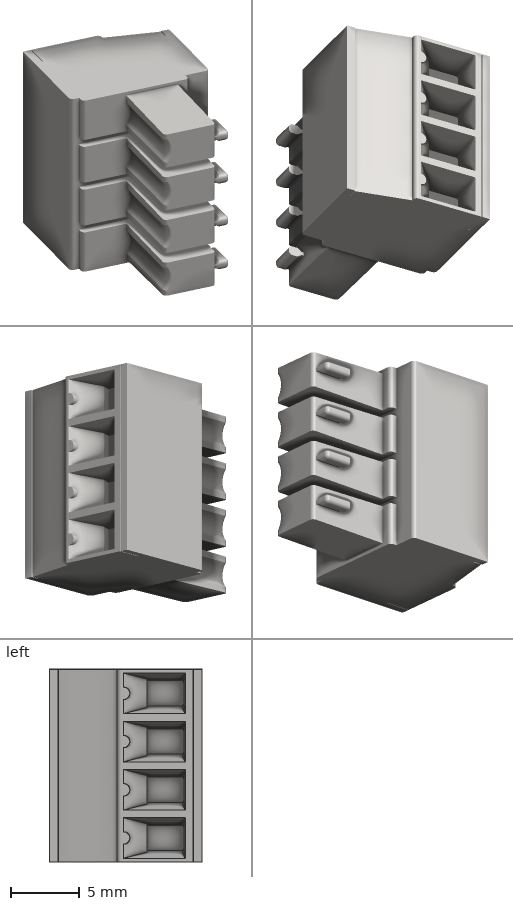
import cadquery as cq
import math


length = 15.5
depth = 11.1
height = 14.0
ways = 4
pitch = height / ways
corner_radius = 0.3

housing_end = 8.31
shoulder_end = 8.9
shoulder_front = 0.68
shoulder_back = 9.18
shoulder_gap = 0.57
panel_root = 2.0
lip = 0.62
parting_gap = 0.06
back_lip_start = 1.25
slope_top_x = 1.33
slope_foot_x = 0.45
slope_foot_y = 6.17

mouth_front = 1.21
mouth_roof = 5.7
mouth_half_height = 1.47
mouth_chamfer = 0.05
funnel_depth = 2.4
funnel_front = 1.33
funnel_half_height = 0.91
funnel_chamfer = 0.12
roof_foot_x = 1.9
roof_foot_y = 4.0
pin_diameter = 0.9

plug_front = 4.18
plug_back = 8.3
plug_root_half_height = (pitch - shoulder_gap) / 2
plug_tip_half_height = 1.35
groove_diameter = 2.8
groove_width = 1.8

hook_start = 13.02
hook_end = 15.2
hook_back = 9.53
hook_half_height = 0.37
neck_half_height = 0.14
hook_slope_start = 8.51
hook_slope_end = 8.82

overlap = 0.15


def box(x_min, x_max, y_min, y_max, z_min, z_max):
    size = (x_max - x_min, y_max - y_min, z_max - z_min)
    return cq.Workplane("XY").box(*size, centered=False).translate((x_min, y_min, z_min))


def make_housing():
    """Main block with a sloped wire-side panel between two lips."""
    slope_top_y = depth - lip - parting_gap
    body = (
        cq.Workplane("XY")
        .lineTo(housing_end, 0)
        .lineTo(housing_end, depth)
        .lineTo(back_lip_start, depth)
        .lineTo(back_lip_start, slope_top_y)
        .lineTo(slope_top_x, slope_top_y)
        .lineTo(slope_foot_x, slope_foot_y)
        .lineTo(corner_radius, slope_foot_y)
        .radiusArc((0, slope_foot_y - corner_radius), -corner_radius)
        .close()
        .extrude(height)
        .edges("|Z and >X")
        .fillet(corner_radius)
    )
    for gap_start in (lip, slope_top_y):
        gap_end = gap_start + parting_gap
        body = body.cut(box(-overlap, panel_root, gap_start, gap_end, 0, height))
    return body


def make_shoulder():
    """Raised step on the plug side, split between neighbouring ways."""
    shoulder = (
        box(housing_end - overlap, shoulder_end, shoulder_front, shoulder_back, 0, height)
        .edges("|Z and >X")
        .fillet(corner_radius)
    )
    for boundary in range(1, ways):
        z_min = boundary * pitch - shoulder_gap / 2
        slot = box(housing_end, length, 0, depth, z_min, z_min + shoulder_gap)
        shoulder = shoulder.cut(slot)
    return shoulder


def entry_outline(front, half_height, chamfer):
    """Section of a wire entry in Y and Z, chamfered at its two front corners."""
    return [
        (mouth_roof, -half_height),
        (mouth_roof, half_height),
        (front + chamfer, half_height),
        (front, half_height - chamfer),
        (front, chamfer - half_height),
        (front + chamfer, -half_height),
    ]


def make_wire_entry():
    """Tapered funnel centred on Z = 0, with a sloping roof and a screw tip left standing."""
    funnel = (
        cq.Workplane("YZ")
        .polyline(entry_outline(mouth_front, mouth_half_height, mouth_chamfer))
        .close()
        .workplane(offset=funnel_depth)
        .polyline(entry_outline(funnel_front, funnel_half_height, funnel_chamfer))
        .close()
        .loft(ruled=True)
    )
    roof = (
        cq.Workplane("XY")
        .moveTo(0, mouth_roof)
        .lineTo(roof_foot_x, roof_foot_y)
        .lineTo(length, roof_foot_y)
        .lineTo(length, mouth_roof)
        .close()
        .extrude(pitch / 2, both=True)
    )
    pin = (
        cq.Workplane("YZ")
        .center(mouth_roof, 0)
        .circle(pin_diameter / 2)
        .extrude(roof_foot_x)
    )
    return funnel.cut(roof).cut(pin)


def make_plug():
    """Plug centred on Z = 0, tapering in height, with a grooved front and rounded end."""
    plug = (
        cq.Workplane("XZ", origin=(0, plug_back, 0))
        .moveTo(housing_end, -plug_root_half_height)
        .lineTo(shoulder_end, -plug_root_half_height)
        .lineTo(length, -plug_tip_half_height)
        .lineTo(length, plug_tip_half_height)
        .lineTo(shoulder_end, plug_root_half_height)
        .lineTo(housing_end, plug_root_half_height)
        .close()
        .extrude(plug_back - plug_front)
    )
    groove_radius = groove_diameter / 2
    axis_distance = math.sqrt(groove_radius**2 - (groove_width / 2) ** 2)
    groove = (
        cq.Workplane("YZ", origin=(shoulder_end, 0, 0))
        .center(plug_front - axis_distance, 0)
        .circle(groove_radius)
        .extrude(length - shoulder_end)
    )
    return plug.cut(groove).faces(">X").edges("not |Y").fillet(corner_radius)


def make_hook():
    """T-shaped coding hook centred on Z = 0, rounded at its back and end."""
    head = (
        box(hook_start, hook_end, plug_back - overlap, hook_back, -hook_half_height, hook_half_height)
        .edges("(not <X) and (not <Y)")
        .fillet(corner_radius)
    )
    undercut = (
        cq.Workplane("YZ", origin=(hook_start, 0, 0))
        .moveTo(plug_back, neck_half_height)
        .lineTo(hook_slope_start, neck_half_height)
        .lineTo(hook_slope_end, hook_half_height)
        .lineTo(plug_back, hook_half_height)
        .close()
        .extrude(hook_end - hook_start)
    )
    return head.cut(undercut).cut(undercut.mirror("XY"))


result = make_housing().union(make_shoulder())
entry = make_wire_entry()
plug = make_plug().union(make_hook())
for way in range(ways):
    centre = (0, 0, (way + 0.5) * pitch)
    result = result.union(plug.translate(centre)).cut(entry.translate(centre))